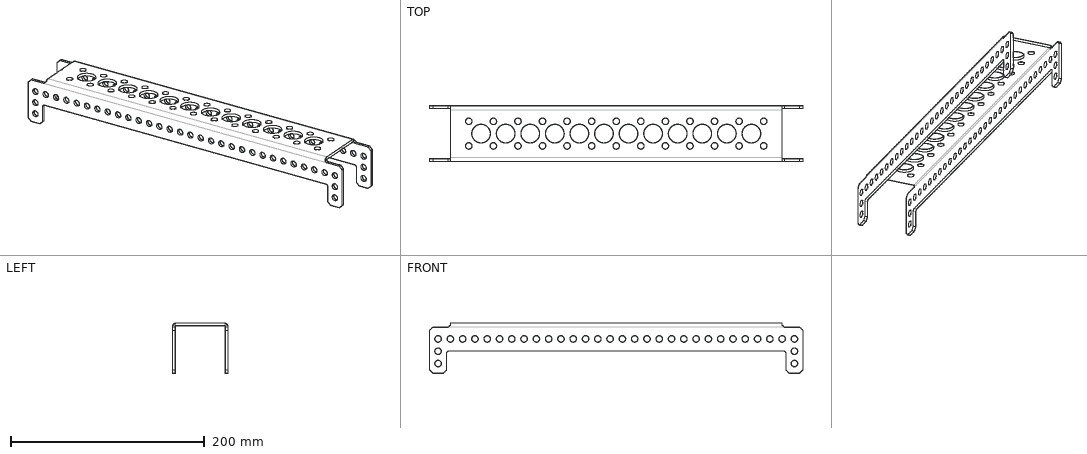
import cadquery as cq

length = 386.13
width = 57.78
height = 52.02

sheet = 3.1
bend_inner_radius = 1.2
bend_outer_radius = bend_inner_radius + sheet

pitch = 12.7
hole_diameter = 6.5
large_hole_diameter = 19.05
flange_hole_count = 30
leg_hole_count = 3
web_column_count = 13
web_column_pitch = 2 * pitch
web_row_offset = pitch

web_length = 27 * pitch
edge_margin = (length - (flange_hole_count - 1) * pitch) / 2
leg_width = 2 * edge_margin
flange_top = height - bend_outer_radius
leg_hole_bottom = 10.1
flange_row_height = leg_hole_bottom + (leg_hole_count - 1) * pitch
beam_bottom = flange_row_height - pitch
corner_chamfer = 3.5
bend_relief = 2.2
leg_inner_radius = 2.0

half_length = length / 2
half_web = web_length / 2
half_opening = half_length - leg_width


def centred_row(count, spacing):
    """Positions of a row of evenly spaced holes centred on zero."""
    return [(i - (count - 1) / 2) * spacing for i in range(count)]


def corner_pair(half_span, level):
    """Selector for the two profile corners at x = +-half_span and z = level."""
    margin = 1.0
    return cq.selectors.BoxSelector(
        (-half_span - margin, -width, level - margin),
        (half_span + margin, width, level + margin),
    )


def rounded_bar(bar_width, bar_height, radius):
    """Full-length bar standing on z = 0 with its two upper long edges rounded."""
    return (
        cq.Workplane("XY")
        .box(length, bar_width, bar_height, centered=(True, True, False))
        .edges("|X and >Z")
        .fillet(radius)
    )


def make_channel():
    """Full-length U section, open downwards, with rounded bends."""
    outer = rounded_bar(width, height, bend_outer_radius)
    inner = rounded_bar(width - 2 * sheet, height - sheet, bend_inner_radius)
    return outer.cut(inner)


def make_side_profile():
    """Side outline: raised web over a beam with a leg at each end."""
    return (
        cq.Workplane("XZ")
        .polyline([
            (-half_length, 0),
            (-half_opening, 0),
            (-half_opening, beam_bottom),
            (half_opening, beam_bottom),
            (half_opening, 0),
            (half_length, 0),
            (half_length, flange_top),
            (half_web, flange_top),
            (half_web, height),
            (-half_web, height),
            (-half_web, flange_top),
            (-half_length, flange_top),
        ])
        .close()
        .extrude(width / 2, both=True)
        .edges("|Y and (<Z or <X or >X)")
        .chamfer(corner_chamfer)
        .edges("|Y")
        .edges(corner_pair(half_web, flange_top))
        .chamfer(bend_relief)
        .edges("|Y")
        .edges(corner_pair(half_opening, beam_bottom))
        .fillet(leg_inner_radius)
    )


def make_web_end_trim():
    """Space between the flanges beyond each web end, so the web ends square."""
    level = cq.Workplane("XY").workplane(offset=flange_top)
    between_flanges = level.rect(length, width - 2 * sheet).extrude(bend_outer_radius)
    kept_web = level.rect(web_length, width).extrude(bend_outer_radius)
    return between_flanges.cut(kept_web)


def make_flange_holes():
    """Row of holes along both flanges, continued down each leg."""
    row = centred_row(flange_hole_count, pitch)
    points = [(x, flange_row_height) for x in row]
    for level in range(leg_hole_count - 1):
        for x in (row[0], row[-1]):
            points.append((x, leg_hole_bottom + level * pitch))
    return (
        cq.Workplane("XZ")
        .pushPoints(points)
        .circle(hole_diameter / 2)
        .extrude(width, both=True)
    )


def make_web_holes():
    """Two rows of small holes with large holes centred between them."""
    small_points = []
    for x in centred_row(web_column_count, web_column_pitch):
        for y in (-web_row_offset, web_row_offset):
            small_points.append((x, y))
    large_points = [(x, 0) for x in centred_row(web_column_count - 1, web_column_pitch)]
    web = cq.Workplane("XY").workplane(offset=height - 2 * sheet)
    cut_depth = 3 * sheet
    small_holes = web.pushPoints(small_points).circle(hole_diameter / 2).extrude(cut_depth)
    large_holes = web.pushPoints(large_points).circle(large_hole_diameter / 2).extrude(cut_depth)
    return small_holes.union(large_holes)


result = (
    make_channel()
    .intersect(make_side_profile())
    .cut(make_web_end_trim())
    .cut(make_flange_holes())
    .cut(make_web_holes())
)